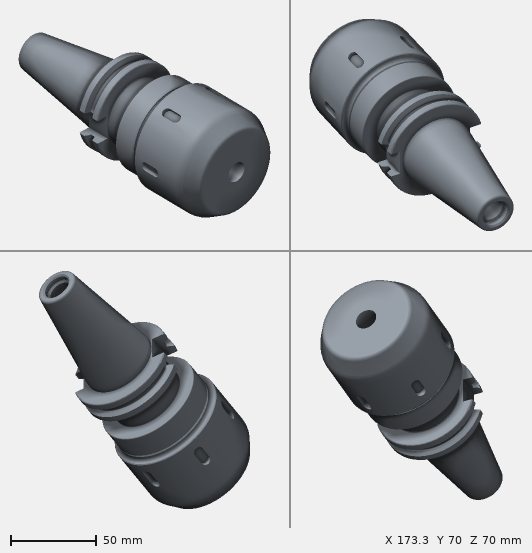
import cadquery as cq
import math


gauge_diameter = 44.45
taper_length = 68.26
taper_per_length = 7 / 24
tail_round = 1.8

flange_diameter = 63.5
flange_start = 3.18
flange_end = 19.05
flange_edge_round = 1.05
groove_center = 11.1
groove_floor_diameter = 56.2
groove_wall_diameter = 58.3
groove_wall_width = 3.8
groove_root_round = 0.5
groove_flank_angle = 30

key_slot_width = 16.1
key_floor_front = 22.6
key_floor_back = 24.6

collar_diameter = 63.0
collar_start = 35.2
collar_end = 50.5
collar_edge_round = 0.7
neck_round = 0.5

through_diameter = 13.0
thread_diameter = 13.49
thread_depth = 30.0
pilot_diameter = 16.3
pilot_depth = 4.2
pilot_cone_angle = 60
relief_diameter = 16.8
relief_start = 2.2
relief_end = 4.0
countersink_diameter = 18.4
countersink_depth = 1.0

nut_diameter = 70.0
nut_end = 105.0
nut_lip_start = 51.2
nut_lip_end = 52.8
nut_lip_chamfer = 0.7
nut_cove_radius = 2.0
nut_back_chamfer = 0.5
nut_nose_start = 90.0
nut_nose_angle = 30
nut_shoulder_round = 10.2
nut_front_round = 3.0

spanner_count = 6
spanner_length = 14.0
spanner_width = 6.0
spanner_center = 68.0
spanner_floor_radius = 32.0


def revolve_about_x(profile):
    return profile.close().revolve(360, (0, 0, 0), (1, 0, 0))


def cylinder_along_x(start, end, diameter):
    return cq.Workplane("YZ", origin=(start, 0, 0)).circle(diameter / 2).extrude(end - start)


def cone_along_x(start, start_diameter, end, end_diameter):
    profile = (
        cq.Workplane("XY")
        .moveTo(start, 0)
        .lineTo(start, start_diameter / 2)
        .lineTo(end, end_diameter / 2)
        .lineTo(end, 0)
    )
    return revolve_about_x(profile)


def make_shank():
    tail_diameter = gauge_diameter - taper_length * taper_per_length
    taper = cone_along_x(-taper_length, tail_diameter, 0, gauge_diameter)
    taper = taper.faces("<X").edges().fillet(tail_round)
    neck = cylinder_along_x(0, collar_start, gauge_diameter)
    return taper.union(neck)


def make_flange():
    flange = cylinder_along_x(flange_start, flange_end, flange_diameter)
    flange = flange.edges("%CIRCLE").fillet(flange_edge_round)

    half_wall = groove_wall_width / 2
    half_floor = half_wall - groove_root_round
    flank_height = (flange_diameter - groove_wall_diameter) / 2
    half_mouth = half_wall + flank_height * math.tan(math.radians(groove_flank_angle))
    floor_radius = groove_floor_diameter / 2
    round_top = floor_radius + groove_root_round
    groove = revolve_about_x(
        cq.Workplane("XY")
        .moveTo(groove_center - half_mouth, flange_diameter / 2)
        .lineTo(groove_center - half_wall, groove_wall_diameter / 2)
        .lineTo(groove_center - half_wall, round_top)
        .radiusArc((groove_center - half_floor, floor_radius), -groove_root_round)
        .lineTo(groove_center + half_floor, floor_radius)
        .radiusArc((groove_center + half_wall, round_top), -groove_root_round)
        .lineTo(groove_center + half_wall, groove_wall_diameter / 2)
        .lineTo(groove_center + half_mouth, flange_diameter / 2)
    )
    return flange.cut(groove)


def make_key_slot(floor, side):
    depth = flange_diameter / 2 - floor
    slot_center = (
        (flange_start + flange_end) / 2,
        side * (floor + depth / 2),
        0,
    )
    slot_box = cq.Workplane("XY").box(flange_end - flange_start, depth, key_slot_width)
    return slot_box.translate(slot_center)


def make_collar():
    collar = cylinder_along_x(collar_start, collar_end, collar_diameter)
    return collar.faces("<X").edges().fillet(collar_edge_round)


def make_corner_ring(face, side):
    """Concave round between the neck and a face at X = face; side is the free direction along X."""
    neck_radius = gauge_diameter / 2
    arc_offset = neck_round * (1 - math.sqrt(0.5))
    profile = (
        cq.Workplane("XY")
        .moveTo(face, neck_radius)
        .lineTo(face + side * neck_round, neck_radius)
        .threePointArc(
            (face + side * arc_offset, neck_radius + arc_offset),
            (face, neck_radius + neck_round),
        )
    )
    return revolve_about_x(profile)


def make_bore():
    tail = -taper_length
    pilot_end = tail + pilot_depth
    cone_length = (pilot_diameter - thread_diameter) / 2 / math.tan(math.radians(pilot_cone_angle))
    bore = cylinder_along_x(tail, collar_end, through_diameter)
    bore = bore.union(cylinder_along_x(tail, tail + thread_depth, thread_diameter))
    bore = bore.union(cylinder_along_x(tail, pilot_end, pilot_diameter))
    bore = bore.union(cone_along_x(pilot_end, pilot_diameter, pilot_end + cone_length, thread_diameter))
    bore = bore.union(cylinder_along_x(tail + relief_start, tail + relief_end, relief_diameter))
    countersink = cone_along_x(tail, countersink_diameter, tail + countersink_depth, pilot_diameter)
    return bore.union(countersink)


def make_holder():
    holder = make_shank().union(make_flange()).union(make_collar())
    holder = holder.union(make_corner_ring(flange_end, 1))
    holder = holder.union(make_corner_ring(collar_start, -1))
    holder = holder.cut(make_key_slot(key_floor_front, -1))
    holder = holder.cut(make_key_slot(key_floor_back, 1))
    return holder.cut(make_bore())


def make_nut_blank():
    bore_radius = through_diameter / 2
    lip_radius = collar_diameter / 2
    outer_radius = nut_diameter / 2
    seat_radius = lip_radius - nut_lip_chamfer
    back_face = nut_lip_end + nut_cove_radius

    cove_offset = nut_cove_radius * math.sqrt(0.5)
    cove_middle = (nut_lip_end + cove_offset, lip_radius + nut_cove_radius - cove_offset)
    cove_end = (back_face, lip_radius + nut_cove_radius)

    nose = math.radians(nut_nose_angle)
    shoulder_center = outer_radius - nut_shoulder_round

    def shoulder_point(angle):
        return (
            nut_nose_start + nut_shoulder_round * math.sin(angle),
            shoulder_center + nut_shoulder_round * math.cos(angle),
        )

    cone_start = shoulder_point(nose)

    front_center_x = nut_end - nut_front_round
    cone_end_x = front_center_x + nut_front_round * math.sin(nose)
    cone_end_radius = cone_start[1] - (cone_end_x - cone_start[0]) * math.tan(nose)
    front_center_radius = cone_end_radius - nut_front_round * math.cos(nose)
    front_middle_angle = (nose + math.pi / 2) / 2
    front_middle = (
        front_center_x + nut_front_round * math.sin(front_middle_angle),
        front_center_radius + nut_front_round * math.cos(front_middle_angle),
    )

    profile = (
        cq.Workplane("XY")
        .moveTo(collar_end, bore_radius)
        .lineTo(collar_end, seat_radius)
        .lineTo(nut_lip_start, seat_radius)
        .lineTo(nut_lip_start + nut_lip_chamfer, lip_radius)
        .lineTo(nut_lip_end, lip_radius)
        .threePointArc(cove_middle, cove_end)
        .lineTo(back_face, outer_radius - nut_back_chamfer)
        .lineTo(back_face + nut_back_chamfer, outer_radius)
        .lineTo(nut_nose_start, outer_radius)
        .threePointArc(shoulder_point(nose / 2), cone_start)
        .lineTo(cone_end_x, cone_end_radius)
        .threePointArc(front_middle, (nut_end, front_center_radius))
        .lineTo(nut_end, bore_radius)
    )
    return revolve_about_x(profile)


def make_spanner_slot(angle):
    slot = (
        cq.Workplane("XY", origin=(spanner_center, 0, spanner_floor_radius))
        .slot2D(spanner_length, spanner_width)
        .extrude(nut_diameter / 2 - spanner_floor_radius)
    )
    return slot.rotate((0, 0, 0), (1, 0, 0), angle)


def make_nut():
    nut = make_nut_blank()
    spacing = 360 / spanner_count
    for index in range(spanner_count):
        nut = nut.cut(make_spanner_slot((index + 0.5) * spacing))
    return nut


holder = make_holder()
nut = make_nut()

result = cq.Compound.makeCompound([holder.val(), nut.val()])